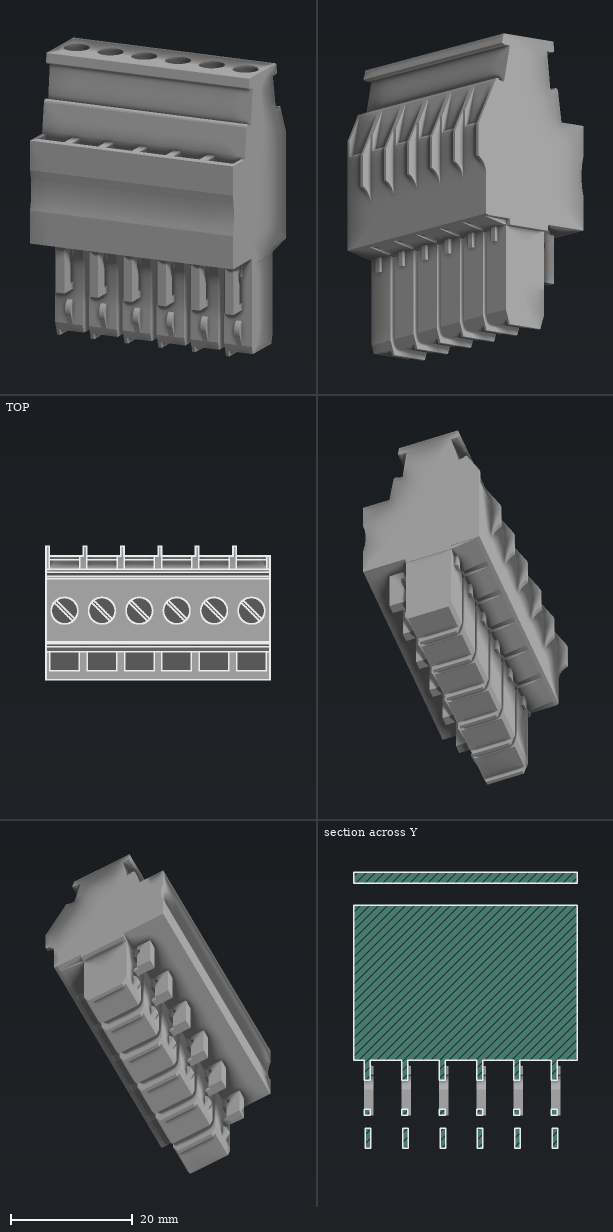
import cadquery as cq

POLES = 6
LENGTH = 36.9
HEIGHT = 48.5
DEPTH = 22.0
PITCH = LENGTH / POLES

BODY_BOTTOM = 17.5
BACK_FACE = 20.4
BACK_EDGE_Z = 17.7
SHELF_Z = 35.1
SHELF_BACK = 4.65
SHELF_STEP_Z = 35.45
CAP_Y = (6.3, 16.7)
CAP_LIP_Y = (6.1, 17.05)
CAP_UNDERSIDE_Y = (6.45, 16.6)
CAP_LIP_Z = 46.9
CAP_UNDERSIDE_Z = 46.65
LEDGE_Z = 40.35
RIM_Z = 40.75
NECK_TOP_Y = (7.6, 15.4)
NECK_ROOT_Y = (6.95, 16.65)
FRONT_RIM = [(5.35, LEDGE_Z), (5.45, 40.6), (5.95, RIM_Z), (6.0, 40.5)]
BACK_RIM = [(17.7, 40.55), (17.75, RIM_Z)]
GRIP_TOP_Z = 30.05
GRIP_BOTTOM_Z = 23.15
GRIP_DEPTH = 0.45

SLOPE_TOP = (18.25, RIM_Z)
SLOPE_BOTTOM = (DEPTH, 32.5)
RIB_WIDTH = 0.6
RIB_BOTTOM_Z = 27.25
RIB_ROOT_Z = 24.75
RIB_ARC_MID = (20.85, 26.15)
BACK_POCKET_WIDTH = PITCH - 2 * RIB_WIDTH
BACK_POCKET_TOP_Y = 18.4
BACK_POCKET_KNEE = (19.8, 33.7)
BACK_POCKET_FOOT_Z = 33.25

SCREW_DIAMETER = 4.35
SCREW_Y = 11.4
SCREW_HOLE_DEPTH = 14.55
SLOT_WIDTH = 0.5
SLOT_DEPTH = 0.5
SLOT_ANGLE = -45

WIRE_WIDTH = 4.85
WIRE_Y = (1.5, SHELF_BACK)
WIRE_DEPTH = 12.1

LEG_Y = (7.45, 15.4)
LEG_START = 1.0
LEG_WIDTH = 5.05
LEG_FLOOR_Z = 1.0
LEG_TAPER_Z = 2.38
LEG_TAPER_DEPTH = 0.78
TIP_WIDTH = 0.6
BASE_BOTTOM = 16.5

STRIP_THICKNESS = 0.55
STRIP_WIDTH = 1.05
STRIP_BOTTOM = 14.2
WEDGE_BOTTOM = 16.7
WEDGE_BACK = 19.8

LATCH_START = 2.8
LATCH_WIDTH = 1.55
LATCH_Y = (3.98, 6.4)
LATCH_Z = (8.5, 16.65)
NOTCH_Y = 5.85
NOTCH_TOP_Z = 15.2
NOTCH_DEEP_Z = (14.35, 15.0)
NOTCH_BOTTOM_Z = 12.75
FOOT_TOP = 9.5
FOOT_FILLET = 0.2
HANGER_SIZE = (0.6, 1.4)
HANGER_BASE_HEIGHT = 0.45
HANGER_BASE_FLARE = 0.15

BUMP_START = 3.25
BUMP_WIDTH = 0.95
BUMP_TOP_Z = 6.6
BUMP_CREST = (6.6, 5.15)
BUMP_ARC_END = (6.95, 3.85)
BUMP_BOTTOM_Z = 2.75


def extrude_x(outline, start, width):
    """Extrude a closed (y, z) outline along X from start."""
    return outline.close().extrude(width).translate((start, 0, 0))


def prism(points, start, width):
    return extrude_x(cq.Workplane("YZ").polyline(points), start, width)


def block(x, y, z):
    """Box between two limits on each axis."""
    size = (x[1] - x[0], y[1] - y[0], z[1] - z[0])
    return cq.Workplane("XY").box(*size, centered=False).translate((x[0], y[0], z[0]))


def strip_span(x):
    """X limits of the contact strips, flush with the right side of the latch."""
    end = x + LATCH_START + LATCH_WIDTH
    return (end - STRIP_WIDTH, end)


def slope_z(y):
    """Height of the sloping back edge at depth y."""
    fall = (SLOPE_TOP[1] - SLOPE_BOTTOM[1]) / (SLOPE_BOTTOM[0] - SLOPE_TOP[0])
    return SLOPE_TOP[1] - fall * (y - SLOPE_TOP[0])


def housing():
    grip_middle_z = (GRIP_TOP_Z + GRIP_BOTTOM_Z) / 2
    outline = (
        cq.Workplane("YZ")
        .moveTo(0, BODY_BOTTOM)
        .lineTo(0, GRIP_BOTTOM_Z)
        .threePointArc((GRIP_DEPTH, grip_middle_z), (0, GRIP_TOP_Z))
        .lineTo(0, SHELF_Z)
        .lineTo(SHELF_BACK, SHELF_Z)
        .lineTo(SHELF_BACK, SHELF_STEP_Z)
        .lineTo(*FRONT_RIM[0])
        .lineTo(*FRONT_RIM[1])
        .lineTo(*FRONT_RIM[2])
        .lineTo(*FRONT_RIM[3])
        .lineTo(NECK_ROOT_Y[0], LEDGE_Z)
        .lineTo(NECK_TOP_Y[0], CAP_UNDERSIDE_Z)
        .lineTo(CAP_UNDERSIDE_Y[0], CAP_UNDERSIDE_Z)
        .lineTo(CAP_LIP_Y[0], CAP_LIP_Z)
        .lineTo(CAP_Y[0], HEIGHT)
        .lineTo(CAP_Y[1], HEIGHT)
        .lineTo(CAP_LIP_Y[1], CAP_LIP_Z)
        .lineTo(CAP_UNDERSIDE_Y[1], CAP_UNDERSIDE_Z)
        .lineTo(NECK_TOP_Y[1], CAP_UNDERSIDE_Z)
        .lineTo(NECK_ROOT_Y[1], LEDGE_Z)
        .lineTo(*BACK_RIM[0])
        .lineTo(*BACK_RIM[1])
        .lineTo(*SLOPE_TOP)
        .lineTo(BACK_FACE, slope_z(BACK_FACE))
        .lineTo(BACK_FACE, BACK_EDGE_Z)
        .lineTo(WEDGE_BACK, BODY_BOTTOM)
    )
    return extrude_x(outline, 0, LENGTH)


def back_rib(x):
    outline = (
        cq.Workplane("YZ")
        .moveTo(BACK_FACE, slope_z(BACK_FACE))
        .lineTo(*SLOPE_BOTTOM)
        .lineTo(DEPTH, RIB_BOTTOM_Z)
        .threePointArc(RIB_ARC_MID, (BACK_FACE, RIB_ROOT_Z))
    )
    return extrude_x(outline, x, RIB_WIDTH)


def back_pocket(x):
    pocket_top_z = slope_z(BACK_POCKET_TOP_Y)
    points = [
        (BACK_POCKET_TOP_Y, pocket_top_z),
        BACK_POCKET_KNEE,
        (BACK_FACE, BACK_POCKET_FOOT_Z),
        (DEPTH, BACK_POCKET_FOOT_Z),
        (DEPTH, pocket_top_z),
    ]
    return prism(points, x + RIB_WIDTH, BACK_POCKET_WIDTH)


def screw_hole(x):
    """Round hole with a screw at its foot, slotted across the head."""
    floor_z = HEIGHT - SCREW_HOLE_DEPTH
    center = (x + PITCH / 2, SCREW_Y)
    hole = cq.Workplane("XY").circle(SCREW_DIAMETER / 2).extrude(SCREW_HOLE_DEPTH)
    slot_blank = (
        cq.Workplane("XY")
        .rect(SCREW_DIAMETER, SLOT_WIDTH)
        .extrude(-SLOT_DEPTH)
        .rotate((0, 0, 0), (0, 0, 1), SLOT_ANGLE)
    )
    head = cq.Workplane("XY").circle(SCREW_DIAMETER / 2).extrude(-SLOT_DEPTH)
    return hole.union(slot_blank.intersect(head)).translate((*center, floor_z))


def wire_opening(x):
    start = x + (PITCH - WIRE_WIDTH) / 2
    return block((start, start + WIRE_WIDTH), WIRE_Y, (SHELF_Z - WIRE_DEPTH, SHELF_Z))


def leg(x):
    """Tapered plug leg; only its left wall reaches down to the tip."""
    front, back = LEG_Y
    points = [
        (front, BODY_BOTTOM),
        (front, LEG_TAPER_Z),
        (front + LEG_TAPER_DEPTH, 0),
        (back - LEG_TAPER_DEPTH, 0),
        (back, LEG_TAPER_Z),
        (back, BODY_BOTTOM),
    ]
    start = x + LEG_START
    end = start + LEG_WIDTH
    relief = block((start + TIP_WIDTH, end), LEG_Y, (0, LEG_FLOOR_Z))
    return prism(points, start, LEG_WIDTH).cut(relief)


def back_wedge(x):
    """Sloping gusset between the housing and the back of a leg."""
    back = LEG_Y[1]
    strip_back = back + STRIP_THICKNESS
    points = [
        (back, BODY_BOTTOM),
        (back, WEDGE_BOTTOM),
        (strip_back, WEDGE_BOTTOM),
        (WEDGE_BACK, BODY_BOTTOM),
    ]
    return prism(points, x + LEG_START, LEG_WIDTH)


def contact_strips(x):
    front, back = LEG_Y
    span_x = strip_span(x)
    span_z = (STRIP_BOTTOM, BODY_BOTTOM)
    front_strip = block(span_x, (front - STRIP_THICKNESS, front), span_z)
    back_strip = block(span_x, (back, back + STRIP_THICKNESS), span_z)
    return front_strip.union(back_strip)


def latch(x):
    """Notched bar hung from the housing by a thin hanger and tied to the leg by a foot."""
    front, back = LATCH_Y
    bottom, top = LATCH_Z
    bar_points = [
        (front, bottom),
        (front, top),
        (back, top),
        (back, NOTCH_TOP_Z),
        (NOTCH_Y, NOTCH_DEEP_Z[1]),
        (NOTCH_Y, NOTCH_DEEP_Z[0]),
        (back, NOTCH_BOTTOM_Z),
        (back, bottom),
    ]
    start = x + LATCH_START
    bar = prism(bar_points, start, LATCH_WIDTH)

    leg_face = LEG_Y[0]
    foot_outline = (
        cq.Workplane("YZ")
        .moveTo(back, bottom)
        .lineTo(back, FOOT_TOP)
        .lineTo(leg_face - FOOT_FILLET, FOOT_TOP)
        .radiusArc((leg_face, FOOT_TOP + FOOT_FILLET), -FOOT_FILLET)
        .lineTo(leg_face, bottom)
    )
    foot = extrude_x(foot_outline, strip_span(x)[0], STRIP_WIDTH)

    hanger_center = (start + LATCH_WIDTH / 2, (front + back) / 2, top)
    hanger = cq.Workplane("XY").rect(*HANGER_SIZE).extrude(BODY_BOTTOM - top)
    hanger_base = (
        cq.Workplane("XY")
        .rect(HANGER_SIZE[0] + 2 * HANGER_BASE_FLARE, HANGER_SIZE[1] + 2 * HANGER_BASE_FLARE)
        .workplane(offset=HANGER_BASE_HEIGHT)
        .rect(*HANGER_SIZE)
        .loft()
    )
    return bar.union(foot).union(hanger.union(hanger_base).translate(hanger_center))


def snap_bump(x):
    """Rounded bump whose lower end runs out onto the leg's taper plane."""
    front = LEG_Y[0]
    runout_y = front - (BUMP_BOTTOM_Z - LEG_TAPER_Z) * LEG_TAPER_DEPTH / LEG_TAPER_Z
    outline = (
        cq.Workplane("YZ")
        .moveTo(front, BUMP_TOP_Z)
        .threePointArc(BUMP_CREST, BUMP_ARC_END)
        .lineTo(runout_y, BUMP_BOTTOM_Z)
        .lineTo(front, LEG_TAPER_Z)
    )
    return extrude_x(outline, x + BUMP_START, BUMP_WIDTH)


body = housing().union(block((0, LENGTH), LEG_Y, (BASE_BOTTOM, BODY_BOTTOM)))
for pole in range(POLES):
    pole_x = pole * PITCH
    for add in (back_rib, leg, back_wedge, contact_strips, latch, snap_bump):
        body = body.union(add(pole_x))
    for remove in (back_pocket, screw_hole, wire_opening):
        body = body.cut(remove(pole_x))

result = body